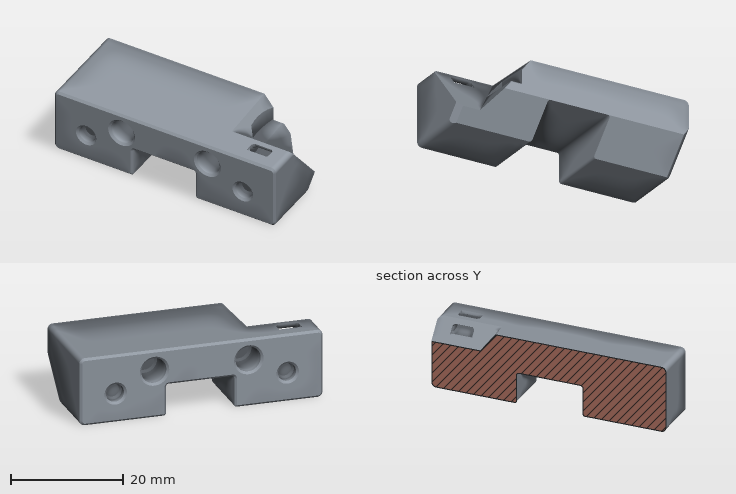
import cadquery as cq
import math

LENGTH = 45.75
DEPTH = 18.4
HEIGHT = 12.85
HALF_LENGTH = LENGTH / 2
BACK_BEVEL = 6.0
BACK_BEVEL_ANGLE = 45.0
SIDE_ROUND = 0.95
BEVEL_END_CHAMFER = 1.0
EDGE_BEVEL = 0.4

SLOT_LEFT = -6.6
SLOT_RIGHT = 6.25
SLOT_TOP = 6.0
SLOT_ROUND = 0.45

SMALL_HOLE = (16.2, 5.5, 3.4, 2.0)
LARGE_HOLE = (8.9, 8.9, 4.7, 6.0)

CUT_FRONT = 6.0
CUT_ANGLE = 50.0
CUT_LEFT_FRONT = 10.5
CUT_LEFT_BACK = 9.95
CUT_VALLEY_X = 18.35

POCKET_FLOOR = 7.9
POCKET_LEFT = 11.3
POCKET_LEFT_Y = 14.3
POCKET_BACK_X = 11.8
POCKET_CORNER_X = 11.55
POCKET_CORNER_Y = 11.0
POCKET_FRONT = 9.55
POCKET_FRONT_X = 12.7
POCKET_LIP = 0.27

TIE_X = 17.6
TIE_WIDTH = 4.25
TIE_INNER_RADIUS = 1.1
TIE_OUTER_RADIUS = 2.9


def prism_along_x(points, x_start, x_end):
    """Extrude a (Y, Z) polygon from x_start to x_end."""
    return cq.Workplane("YZ", origin=(x_start, 0, 0)).polyline(points).close().extrude(x_end - x_start)


def rear_bevel_envelope():
    """Large block resting on the rear bevel plane, with the two long lower edges chamfered."""
    reach = DEPTH + HEIGHT
    profile = [
        (-HALF_LENGTH + BEVEL_END_CHAMFER, 0),
        (HALF_LENGTH - BEVEL_END_CHAMFER, 0),
        (HALF_LENGTH, BEVEL_END_CHAMFER),
        (HALF_LENGTH, reach),
        (-HALF_LENGTH, reach),
        (-HALF_LENGTH, BEVEL_END_CHAMFER),
    ]
    envelope = cq.Workplane("XZ").polyline(profile).close().extrude(reach, both=True)
    return envelope.rotate((0, 0, 0), (1, 0, 0), BACK_BEVEL_ANGLE).translate((0, DEPTH - BACK_BEVEL, 0))


def slot():
    """Through slot along Y with rounded upper corners."""
    width = SLOT_RIGHT - SLOT_LEFT
    channel = cq.Workplane("XY").box(width, DEPTH, SLOT_TOP, centered=False)
    channel = channel.edges("|Y and >Z").fillet(SLOT_ROUND)
    return channel.translate((SLOT_LEFT, 0, 0))


def block():
    body = cq.Workplane("XY").box(LENGTH, DEPTH, HEIGHT, centered=(True, False, False))
    body = body.edges("|Y").fillet(SIDE_ROUND)
    body = body.cut(slot())
    rim_margin = SLOT_ROUND / 2
    rims = cq.selectors.BoxSelector(
        (SLOT_LEFT - rim_margin, 0, -rim_margin),
        (SLOT_RIGHT + rim_margin, DEPTH, rim_margin),
    )
    body = body.edges("|Y").edges(rims).fillet(SLOT_ROUND)
    body = body.faces("<Y").chamfer(EDGE_BEVEL)
    return body.intersect(rear_bevel_envelope())


def front_hole(x, z, diameter, depth):
    """Blind hole with a bevelled mouth and a bevelled bottom corner."""
    radius = diameter / 2
    half_profile = [
        (0, 0),
        (radius + EDGE_BEVEL, 0),
        (radius, EDGE_BEVEL),
        (radius, depth - EDGE_BEVEL),
        (radius - EDGE_BEVEL, depth),
        (0, depth),
    ]
    hole = cq.Workplane("XY").polyline(half_profile).close().revolve(360, (0, 0, 0), (0, 1, 0))
    return hole.translate((x, 0, z))


def space_above_rear_plane():
    """Everything above the plane that falls to the rear."""
    run = HEIGHT / math.tan(math.radians(CUT_ANGLE))
    points = [
        (CUT_FRONT, HEIGHT),
        (CUT_FRONT + run, 0),
        (DEPTH, 0),
        (DEPTH, HEIGHT),
    ]
    return prism_along_x(points, 0, HALF_LENGTH)


def space_above_right_plane():
    """Everything above the plane that falls to the right."""
    fall = math.tan(math.radians(CUT_ANGLE))
    bevel_start = DEPTH - BACK_BEVEL
    valley_y = (HEIGHT + fall * CUT_FRONT + bevel_start) / (1 + fall)
    valley_drop = HEIGHT - (valley_y - bevel_start)
    lean = (CUT_LEFT_BACK - CUT_LEFT_FRONT) / (DEPTH - CUT_FRONT)
    edge_x = CUT_LEFT_FRONT + lean * (valley_y - CUT_FRONT)
    run = HEIGHT * (CUT_VALLEY_X - edge_x) / valley_drop

    def section(y, left):
        points = [(left, HEIGHT), (left + run, 0), (HALF_LENGTH, 0), (HALF_LENGTH, HEIGHT)]
        return cq.Wire.makePolygon([cq.Vector(x, y, z) for x, z in points], close=True)

    sections = [section(CUT_FRONT, CUT_LEFT_FRONT), section(DEPTH, CUT_LEFT_BACK)]
    return cq.Workplane(cq.Solid.makeLoft(sections, True))


def pocket():
    prism = (
        cq.Workplane("XY", origin=(0, 0, POCKET_FLOOR))
        .moveTo(POCKET_BACK_X, DEPTH)
        .threePointArc((POCKET_LEFT, POCKET_LEFT_Y), (POCKET_CORNER_X, POCKET_CORNER_Y))
        .lineTo(POCKET_FRONT_X, POCKET_FRONT)
        .lineTo(HALF_LENGTH, POCKET_FRONT)
        .lineTo(HALF_LENGTH, DEPTH)
        .close()
        .extrude(HEIGHT - POCKET_FLOOR)
    )
    lip = [
        (DEPTH - POCKET_LIP, POCKET_FLOOR),
        (DEPTH, POCKET_FLOOR - POCKET_LIP),
        (DEPTH, POCKET_FLOOR),
    ]
    return prism.union(prism_along_x(lip, POCKET_BACK_X, HALF_LENGTH))


def tie_channel():
    """Arched channel around the front edge of the corner cut, with a lead-in at both mouths."""
    half_width = TIE_WIDTH / 2
    section = [
        (half_width - EDGE_BEVEL, TIE_INNER_RADIUS),
        (half_width, TIE_INNER_RADIUS + EDGE_BEVEL),
        (half_width, TIE_OUTER_RADIUS - EDGE_BEVEL),
        (half_width - EDGE_BEVEL, TIE_OUTER_RADIUS),
    ]
    mirrored = [(-x, radius) for x, radius in reversed(section)]
    channel = cq.Workplane("XY").polyline(section + mirrored).close().revolve(360, (0, 0, 0), (1, 0, 0))

    lead_in_points = [
        (-TIE_OUTER_RADIUS - EDGE_BEVEL, 0),
        (-TIE_OUTER_RADIUS, -EDGE_BEVEL),
        (-TIE_OUTER_RADIUS + EDGE_BEVEL, 0),
    ]
    top_lead_in = prism_along_x(lead_in_points, -half_width, half_width)
    rear_lead_in = top_lead_in.mirror("XZ").rotate((0, 0, 0), (1, 0, 0), -CUT_ANGLE)
    cutter = channel.union(top_lead_in).union(rear_lead_in)
    return cutter.translate((TIE_X, CUT_FRONT, HEIGHT))


body = block()
for offset, *hole_sizes in (SMALL_HOLE, LARGE_HOLE):
    for side in (-1, 1):
        body = body.cut(front_hole(side * offset, *hole_sizes))

above_rear_plane = space_above_rear_plane()
body = body.cut(above_rear_plane.intersect(space_above_right_plane()))
body = body.cut(above_rear_plane.intersect(pocket()))
result = body.cut(tie_channel())